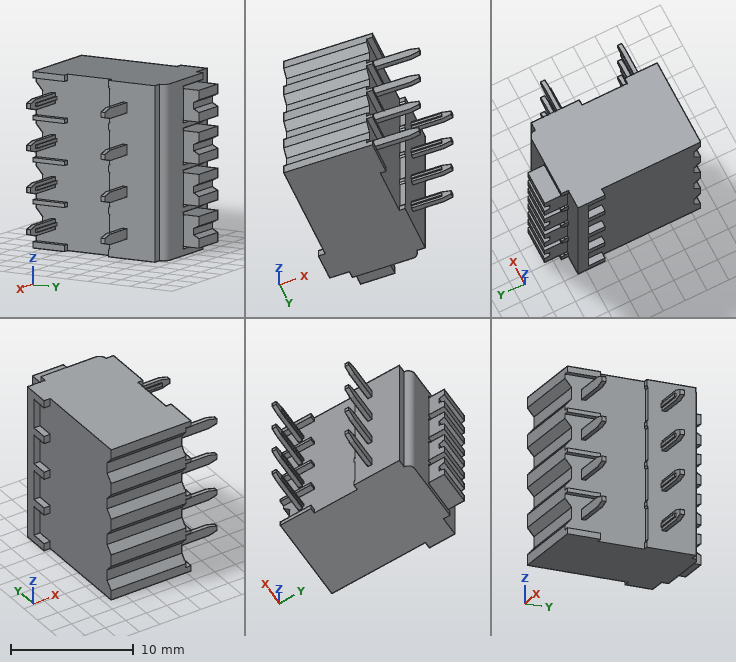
import cadquery as cq

pole_count = 4
pitch = 3.5
height = 14.7
rib_height = 0.7
bay_height = pitch - rib_height
first_pole_z = (height - (pole_count - 1) * pitch) / 2
pole_centers = [first_pole_z + i * pitch for i in range(pole_count)]

lip_depth = 0.6
housing_end_x = 8.41
lip_start_y = 9.07
lip_bays_end_y = 10.58
shoulder_y = 11.55
step_start_x = 1.73
step_end_x = 7.67
step_y = 12.19
step_corner_radius = step_y - shoulder_y

notch_depth = 0.5
notch_start_y = 2.98
notch_end_y = 7.15
foot_face_x = housing_end_x - notch_depth

groove_depth = 0.6
groove_mouth = 2.38
groove_floor = 1.0

foot_bay_height = 3.15
recess_depth = 0.1

flare_depth = 0.31
flare_widening = 0.15

button_start_x = 1.87
button_length = 3.03
button_end_x = button_start_x + button_length
button_height = 2.65
button_top_y = 13.65
button_notch_depth = 0.5
button_notch_mouth = 1.06
button_notch_floor = 0.53

pin_tip_x = 11.9
pin_taper_length = 0.81
pin_taper_x = pin_tip_x - pin_taper_length
pin_width = 0.87
pin_tip_width = 0.43
pin_thickness = 0.38
lower_pin_y = 1.47
upper_pin_y = 8.51
bead_width = 0.3
bead_height = 0.12


def box(x_range, y_range, z_range):
    """Box filling the given start-to-end range along each axis."""
    size = [end - start for start, end in (x_range, y_range, z_range)]
    corner = (x_range[0], y_range[0], z_range[0])
    return cq.Workplane("XY").box(*size, centered=False).translate(corner)


def centered_range(center, size):
    """Start and end of a length centered on a coordinate."""
    return (center - size / 2, center + size / 2)


def prism_along_x(points, x_range):
    """Extrude a closed (Y, Z) outline along X."""
    length = x_range[1] - x_range[0]
    return cq.Workplane("YZ").polyline(points).close().extrude(length).translate((x_range[0], 0, 0))


def tapered_channel(mouth_y, floor_y, mouth_height, floor_height, center_z, x_range):
    """Trapezoidal prism along X, from its mouth to its floor in Y."""
    mouth = mouth_height / 2
    floor = floor_height / 2
    points = [
        (mouth_y, center_z - mouth),
        (floor_y, center_z - floor),
        (floor_y, center_z + floor),
        (mouth_y, center_z + mouth),
    ]
    return prism_along_x(points, x_range)


def button_bay(center_z):
    """Bay in the step between two ribs, widened by a flare at its mouth."""
    x_range = (step_start_x, button_end_x)
    bay = box(x_range, (shoulder_y, step_y), centered_range(center_z, bay_height))
    flare_mouth = bay_height + 2 * flare_widening
    flare = tapered_channel(step_y, step_y - flare_depth, flare_mouth, bay_height, center_z, x_range)
    return bay.union(flare)


def housing_blank():
    """Housing profile with lip, rounded step and side notch, over the full height."""
    return (
        cq.Workplane("XY")
        .moveTo(lip_depth, 0)
        .lineTo(housing_end_x, 0)
        .lineTo(housing_end_x, notch_start_y)
        .lineTo(foot_face_x, notch_start_y)
        .lineTo(foot_face_x, notch_end_y)
        .lineTo(housing_end_x, notch_end_y)
        .lineTo(housing_end_x, shoulder_y)
        .lineTo(step_end_x, shoulder_y)
        .radiusArc((step_end_x - step_corner_radius, step_y), -step_corner_radius)
        .lineTo(step_start_x, step_y)
        .lineTo(step_start_x, shoulder_y)
        .lineTo(0, shoulder_y)
        .lineTo(0, lip_start_y)
        .lineTo(lip_depth, lip_start_y)
        .close()
        .extrude(height)
    )


def pole_cutouts(center_z):
    """Everything removed from the housing at one pole."""
    lip_bay = box((0, lip_depth), (lip_start_y, lip_bays_end_y), centered_range(center_z, bay_height))
    groove = tapered_channel(0, groove_depth, groove_mouth, groove_floor, center_z, (lip_depth, foot_face_x))
    foot_x_range = (foot_face_x, housing_end_x)
    foot_bay = box(foot_x_range, (0, notch_start_y), centered_range(center_z, foot_bay_height))
    recess = tapered_channel(
        notch_end_y, notch_end_y + recess_depth, foot_bay_height, bay_height, center_z, foot_x_range
    )
    return lip_bay.union(groove).union(foot_bay).union(recess).union(button_bay(center_z))


def button(center_z):
    """Release button standing on the shoulder, with a tapered notch across its top."""
    x_range = (button_start_x, button_end_x)
    block = box(x_range, (shoulder_y, button_top_y), centered_range(center_z, button_height))
    notch = tapered_channel(
        button_top_y,
        button_top_y - button_notch_depth,
        button_notch_mouth,
        button_notch_floor,
        center_z,
        x_range,
    )
    return block.cut(notch)


def pin(root_x, start_y, bead_start_y, center_z):
    """Flat pin with a tapered tip and a raised bead along one face."""
    side = pin_width / 2
    tip = pin_tip_width / 2
    blade = (
        cq.Workplane("XZ")
        .polyline(
            [
                (root_x, center_z - side),
                (pin_taper_x, center_z - side),
                (pin_tip_x, center_z - tip),
                (pin_tip_x, center_z + tip),
                (pin_taper_x, center_z + side),
                (root_x, center_z + side),
            ]
        )
        .close()
        .extrude(-pin_thickness)
        .translate((0, start_y, 0))
    )
    bead = box(
        (root_x, pin_taper_x),
        (bead_start_y, bead_start_y + bead_height),
        centered_range(center_z, bead_width),
    )
    return blade.union(bead)


result = housing_blank()
for z in pole_centers:
    result = result.cut(pole_cutouts(z))
for z in pole_centers:
    result = result.union(button(z))
    result = result.union(pin(foot_face_x, lower_pin_y, lower_pin_y + pin_thickness, z))
    result = result.union(pin(housing_end_x, upper_pin_y, upper_pin_y - bead_height, z))